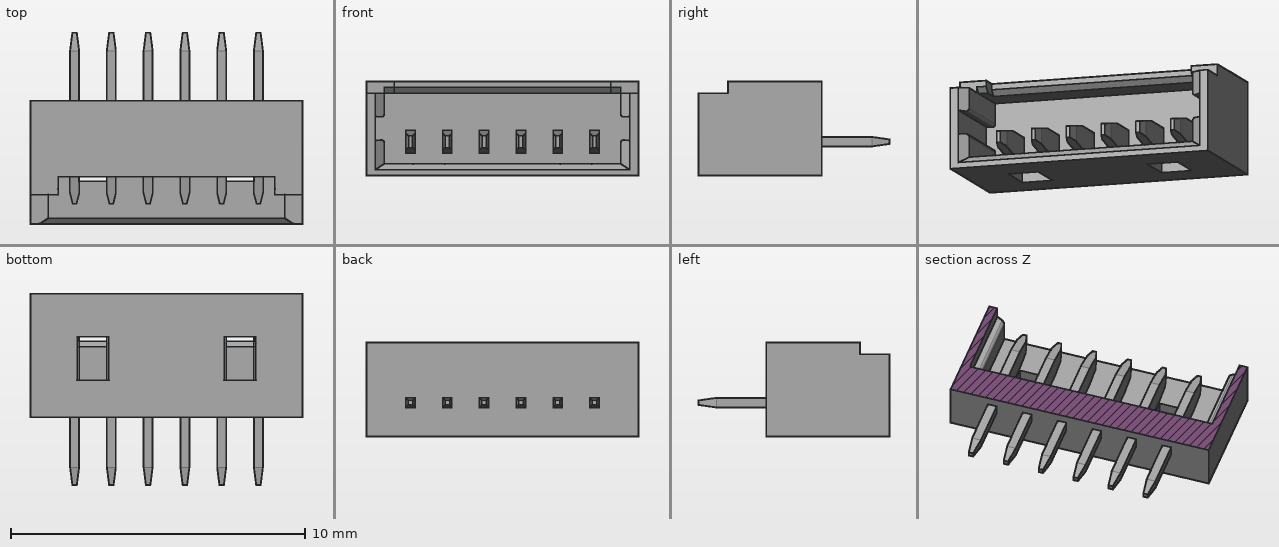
import cadquery as cq

width = 9.25
depth = 4.2
height = 3.2

side_wall = 0.61
floor = 0.4
roof = 0.4
cavity_depth = 2.94

flare_side = 0.31
flare_floor = 0.2
flare_depth = 0.2

step_depth = 1.01
notch_inset = 0.94
notch_depth = 1.61
roof_bevel = 0.19

groove_middle = 1.6
groove_lip_height = 0.76
groove_root_height = 0.82
groove_depth = flare_side
groove_lip_radius = 0.1

pin_count = 6
pin_pitch = 1.25
pin_thickness = 0.31
blade_bottom = 0.76
blade_height = 0.79
blade_tip_y = 0.69
blade_side_taper_y = 1.06
blade_height_taper_y = 1.68
blade_tip_thickness = 0.13
blade_tip_height = 0.4
tail_height = 0.33
tail_end_y = 6.5
tail_taper = 0.61
tail_tip_thickness = 0.16
tail_tip_height = 0.16

window_width = 1.08
window_front_y = 1.46

cavity_half = width / 2 - side_wall
ceiling = height - roof
pin_z = blade_bottom + blade_height / 2
blade_end_y = (cavity_depth + depth) / 2
pin_span = (pin_count - 1) * pin_pitch


def block(x_range, y_range, z_range):
    """Box spanning the given (low, high) ranges."""
    spans = [high - low for low, high in (x_range, y_range, z_range)]
    corner = (x_range[0], y_range[0], z_range[0])
    return cq.Workplane("XY").box(*spans, centered=False).translate(corner)


def mouth_flare():
    """Tapered opening that narrows from the front face to the cavity section; its top stays flat."""
    outer_half = cavity_half + flare_side
    outer_floor = floor - flare_floor
    return (
        cq.Workplane("XZ")
        .polyline([(-outer_half, outer_floor), (outer_half, outer_floor),
                   (outer_half, ceiling), (-outer_half, ceiling)]).close()
        .workplane(offset=-flare_depth)
        .polyline([(-cavity_half, floor), (cavity_half, floor),
                   (cavity_half, ceiling), (-cavity_half, ceiling)]).close()
        .loft(ruled=True)
    )


def round_groove_lips(body):
    """Round the four long edges where the grooves meet the inner side walls."""
    probe = 0.01
    for side in (-1, 1):
        for half in (-1, 1):
            x = side * cavity_half
            z = groove_middle + half * groove_lip_height / 2
            corner = cq.selectors.BoxSelector(
                (x - probe, flare_depth, z - probe), (x + probe, cavity_depth, z + probe)
            )
            body = body.edges("|Y").edges(corner).fillet(groove_lip_radius)
    return body


def cavity():
    """Solid shape of the cavity: main box, key grooves and flared mouth."""
    main = block((-cavity_half, cavity_half), (0, cavity_depth), (floor, ceiling))
    root_half = cavity_half + groove_depth
    lip = groove_lip_height / 2
    root = groove_root_height / 2
    grooves = (
        cq.Workplane("XZ", origin=(0, 0, groove_middle))
        .polyline([(-root_half, -root), (-cavity_half, -lip), (cavity_half, -lip), (root_half, -root),
                   (root_half, root), (cavity_half, lip), (-cavity_half, lip), (-root_half, root)]).close()
        .extrude(-cavity_depth)
    )
    return round_groove_lips(main.union(grooves)).union(mouth_flare())


def roof_relief(half_width, relief_depth):
    """Cutter that sets the roof back from the front and bevels the lower side of its new edge."""
    return (
        cq.Workplane("YZ", origin=(-half_width, 0, 0))
        .polyline([(0, ceiling), (relief_depth + roof_bevel, ceiling),
                   (relief_depth, ceiling + roof_bevel), (relief_depth, height), (0, height)]).close()
        .extrude(2 * half_width)
    )


def housing():
    """Hollow shell with the roof set back in two steps and windows in the floor."""
    half = width / 2
    body = block((-half, half), (0, depth), (0, height)).cut(cavity())
    body = body.cut(block((-half, half), (0, step_depth), (ceiling, height)))
    body = body.cut(roof_relief(cavity_half, step_depth))
    body = body.cut(roof_relief(half - notch_inset, notch_depth))
    window_x = pin_span / 2 - pin_pitch / 2
    for x in (-window_x, window_x):
        x_range = (x - window_width / 2, x + window_width / 2)
        body = body.cut(block(x_range, (window_front_y, cavity_depth), (0, floor)))
    return body


def mirrored_outline(half_profile):
    """Closed outline points from (y, half size) pairs, mirrored about the Y axis."""
    return half_profile + [(y, -size) for y, size in reversed(half_profile)]


def contact():
    """Blade in the cavity and thinner tail behind, centred on the Y axis; tapered at both ends."""
    tail_taper_y = tail_end_y - tail_taper
    side_outline = mirrored_outline([
        (blade_tip_y, blade_tip_height / 2),
        (blade_height_taper_y, blade_height / 2),
        (blade_end_y, blade_height / 2),
        (blade_end_y, tail_height / 2),
        (tail_taper_y, tail_height / 2),
        (tail_end_y, tail_tip_height / 2),
    ])
    plan_outline = mirrored_outline([
        (blade_tip_y, blade_tip_thickness / 2),
        (blade_side_taper_y, pin_thickness / 2),
        (tail_taper_y, pin_thickness / 2),
        (tail_end_y, tail_tip_thickness / 2),
    ])
    side = cq.Workplane("YZ").polyline(side_outline).close().extrude(pin_thickness, both=True)
    plan_points = [(x, y) for y, x in plan_outline]
    plan = cq.Workplane("XY").polyline(plan_points).close().extrude(blade_height, both=True)
    return side.intersect(plan)


result = housing()
for index in range(pin_count):
    pin_x = index * pin_pitch - pin_span / 2
    result = result.union(contact().translate((pin_x, 0, pin_z)))